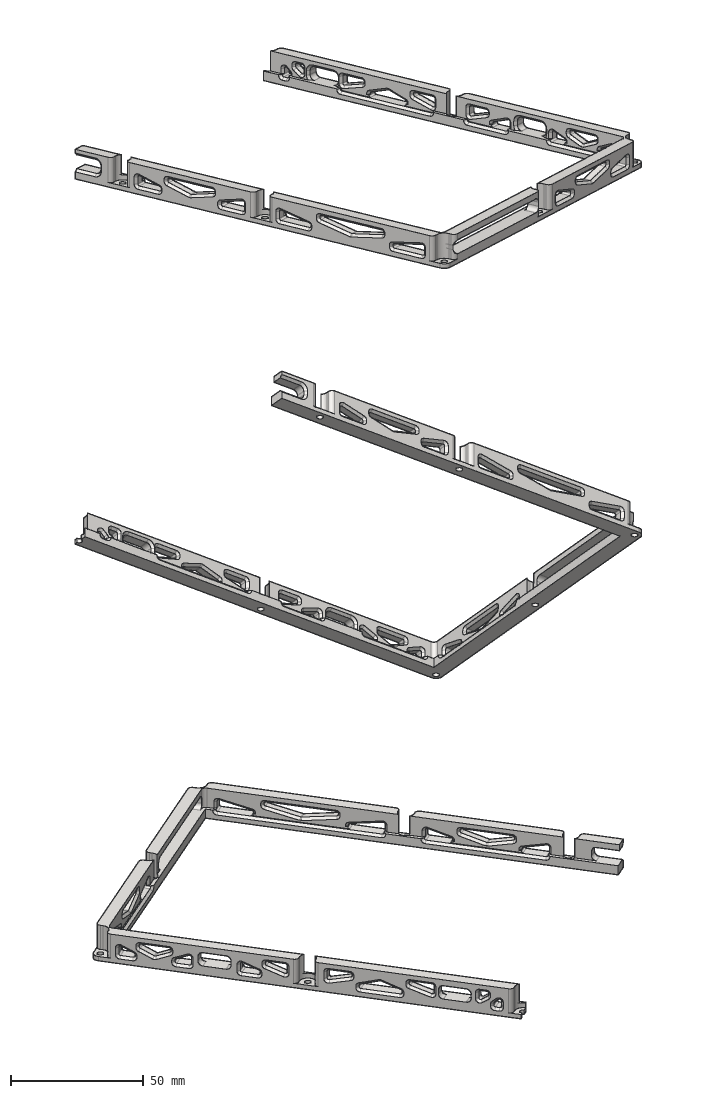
import cadquery as cq
import math

LENGTH = 170.0
SPAN = 133.0
HEIGHT = 12.0

WIDTH = 6.6
RAIL = 5.1
LEDGE_Z = 3.9

SCREW_DIA = 2.5
SCREW_INSET = 2.7
SEAT_R = 3.2
SEAT_Z = 1.9
RAIL_END_R = 1.7
CORNER_FILLET = 1.7
FIRST_SCREW_X = 19.9
MIDDLE_SCREW_X = 85.2

BEVEL = 1.0
WINDOW_LOW = 3.0
WINDOW_HIGH = 9.2
TALL_Z = 7.5
SHORT_Z = 4.8
WINDOW_CORNER_R = 0.7

SLOT_TOP = 9.5
SLOT_CORNER_R = 1.95

CUT_MARGIN = 1.7



def rounded(points, corner_r):
    return cq.Sketch().polygon(points + points[:1]).vertices().fillet(corner_r).reset()


def prism(points, face_y, depth, corner_r):
    """Rounded polygon in XZ, extruded from face_y towards -Y."""
    outline = rounded(points, corner_r)
    return cq.Workplane("XZ", origin=(0, face_y, 0)).placeSketch(outline).extrude(depth)


def bevel(points, face_y, corner_r):
    """45 degree bevel around the polygon, widest at face_y and closing towards -Y."""
    outline = rounded(points, corner_r).wires().offset(BEVEL, mode="a").reset().clean()
    return cq.Workplane("XZ", origin=(0, face_y, 0)).placeSketch(outline).extrude(BEVEL, taper=45)


def opening(points, corner_r, bevel_outside=True, bevel_inside=True):
    """Cutter through the rail, bevelled at its outer face, its inner face or both."""
    cutter = prism(points, RAIL, RAIL, corner_r)
    if bevel_outside:
        cutter = cutter.union(bevel(points, 0, corner_r).mirror("XZ"))
    if bevel_inside:
        base = cq.Workplane().box(LENGTH, WIDTH, LEDGE_Z, centered=False)
        cutter = cutter.union(bevel(points, RAIL, corner_r).cut(base))
    return cutter


def window(start, end, peak, hanging=False):
    """Triangular window, tallest at x = peak; a hanging one is the same shape upside down."""
    points = [(start, WINDOW_LOW), (end, WINDOW_LOW)]
    points.append((end, TALL_Z if peak == end else SHORT_Z))
    if start < peak < end:
        points.append((peak, TALL_Z))
    points.append((start, TALL_Z if peak == start else SHORT_Z))
    if hanging:
        points = [(x, WINDOW_LOW + WINDOW_HIGH - z) for x, z in points]
    return opening(points, WINDOW_CORNER_R)


def truss(start, end, side_length, middle_length, inverted=False):
    """Half triangle, full triangle, half triangle between start and end."""
    center = (start + end) / 2
    half = middle_length / 2
    left = window(start, start + side_length, start, inverted)
    middle = window(center - half, center + half, center, not inverted)
    right = window(end - side_length, end, end, inverted)
    return left.union(middle).union(right)


def slot(start, end, bevel_outside=False, bevel_inside=False):
    """Long opening whose floor is level with the ledge."""
    points = [(start, LEDGE_Z), (end, LEDGE_Z), (end, SLOT_TOP), (start, SLOT_TOP)]
    return opening(points, SLOT_CORNER_R, bevel_outside, bevel_inside)


def ledge_relief(start, end):
    """Lowers the ledge to the window sills, bevelled at the inner face."""
    points = [(start, WINDOW_LOW), (end, WINDOW_LOW), (end, HEIGHT), (start, HEIGHT)]
    cutter = prism(points, WIDTH, WIDTH - RAIL, WINDOW_CORNER_R)
    return cutter.union(bevel(points, WIDTH, WINDOW_CORNER_R))


def place_back(cutter):
    return cutter.mirror("XZ").translate((0, SPAN, 0))


def place_right(cutter):
    return cutter.rotate((0, 0, 0), (0, 0, 1), 90).translate((LENGTH, 0, 0))



def flare_mid(corner_x, direction):
    """Midpoint of the convex rail end that starts on the outer face."""
    return (corner_x + direction * RAIL_END_R * (1 - math.sqrt(0.5)), RAIL_END_R * (1 - math.sqrt(0.5)))


def screw_hole(x):
    return cq.Workplane().center(x, SCREW_INSET).circle(SCREW_DIA / 2).extrude(HEIGHT)


def seat(x):
    """Gap in the wall around a screw: round inside, flared at the outer face."""
    left = x - SEAT_R
    right = x + SEAT_R
    gap = (
        cq.Workplane(origin=(0, 0, SEAT_Z))
        .moveTo(left - RAIL_END_R, 0)
        .threePointArc(flare_mid(left, -1), (left, RAIL_END_R))
        .lineTo(left, SCREW_INSET)
        .threePointArc((x, SCREW_INSET + SEAT_R), (right, SCREW_INSET))
        .lineTo(right, RAIL_END_R)
        .threePointArc(flare_mid(right, 1), (right + RAIL_END_R, 0))
        .close()
        .extrude(HEIGHT)
    )
    return gap.union(screw_hole(x))


def corner_seat():
    """Seat at the corner of the front and right walls, flared along both."""
    x = LENGTH - SCREW_INSET
    left = x - SEAT_R
    back = SCREW_INSET + SEAT_R
    front_mid = flare_mid(left, -1)
    right_mid = (LENGTH - front_mid[1], LENGTH - front_mid[0])
    diagonal = SEAT_R * math.sqrt(0.5)
    gap = (
        cq.Workplane(origin=(0, 0, SEAT_Z))
        .moveTo(left - RAIL_END_R, 0)
        .threePointArc(front_mid, (left, RAIL_END_R))
        .lineTo(left, SCREW_INSET)
        .threePointArc((x - diagonal, SCREW_INSET + diagonal), (x, back))
        .lineTo(LENGTH - RAIL_END_R, back)
        .threePointArc(right_mid, (LENGTH, back + RAIL_END_R))
        .lineTo(LENGTH, 0)
        .close()
        .extrude(HEIGHT)
    )
    return gap.union(screw_hole(x))



def u_shape(wall, height):
    """U-shaped plate of the given wall width."""
    outer = cq.Workplane().box(LENGTH, SPAN, height, centered=False)
    inner = cq.Workplane().box(LENGTH - wall, SPAN - 2 * wall, height, centered=False)
    return outer.cut(inner.translate((0, wall, 0)))


rails = u_shape(RAIL, HEIGHT)
rails = rails.edges(cq.selectors.BoxSelector(
    (LENGTH - RAIL - CUT_MARGIN, RAIL - CUT_MARGIN, 0),
    (LENGTH - RAIL + CUT_MARGIN, SPAN - RAIL + CUT_MARGIN, HEIGHT),
)).edges("|Z").fillet(CORNER_FILLET)
frame = u_shape(WIDTH, LEDGE_Z).union(rails)
frame = frame.edges("|Z and >X").fillet(SCREW_INSET)

front_cutters = [
    seat(FIRST_SCREW_X),
    seat(MIDDLE_SCREW_X),
    corner_seat(),
    slot(-2 * SLOT_CORNER_R, 11.0, bevel_outside=True),
    truss(28.0, 77.0, 10.7, 21.6),
    ledge_relief(28.0, 77.0),
    truss(93.0, 159.5, 14.5, 29.4),
    ledge_relief(93.0, 159.5),
]
back_cutters = [
    seat(0),
    seat(MIDDLE_SCREW_X),
    corner_seat(),
    window(8.0, 11.0, 8.0),
    ledge_relief(8.0, 11.0),
    window(13.1, 17.0, 17.0, hanging=True),
    slot(19.7, 32.6, bevel_inside=True),
    truss(34.7, 77.0, 9.9, 17.0, inverted=True),
    ledge_relief(34.7, 77.0),
    window(92.8, 101.5, 92.8, hanging=True),
    window(103.5, 111.4, 111.4),
    ledge_relief(92.8, 111.4),
    slot(114.8, 127.8, bevel_inside=True),
    truss(130.7, 159.5, 6.5, 12.5),
    ledge_relief(130.7, 159.5),
]
right_cutters = [
    seat(SPAN / 2),
    slot(6.1, 62.2),
    truss(74.5, 122.2, 10.7, 20.9),
    ledge_relief(74.5, 122.2),
]

for cutter in front_cutters:
    frame = frame.cut(cutter)
for cutter in back_cutters:
    frame = frame.cut(place_back(cutter))
for cutter in right_cutters:
    frame = frame.cut(place_right(cutter))

result = frame